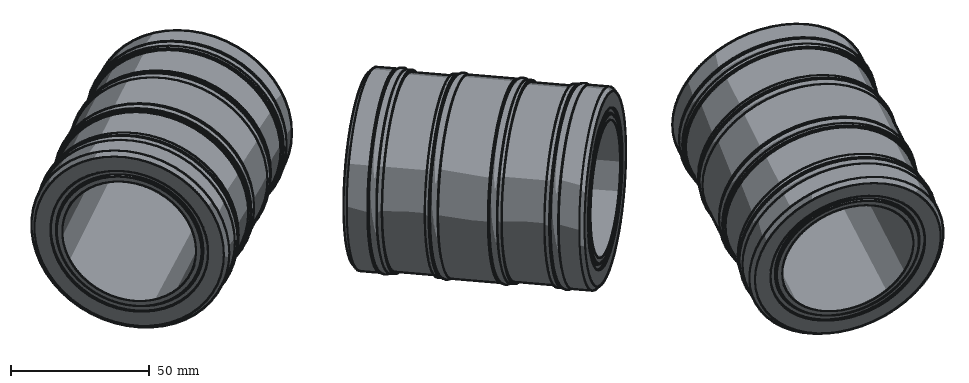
import cadquery as cq

length = 88.9
outer_radius = 37.0
bore_radius = 25.0
outer_chamfer = 1.6

relief_radius = 36.2
relief_inner_end = 14.1
relief_outer_end = 30.0

ring_outer_diameter = 74.9
ring_section_radius = 1.3
ring_centre_radius = ring_outer_diameter / 2 - ring_section_radius
groove_floor_radius = ring_centre_radius - ring_section_radius
groove_width = 3.6
inner_groove_offset = 10.9
outer_groove_offset = 33.5
ring_positions = [
    side * offset
    for side in (-1, 1)
    for offset in (inner_groove_offset, outer_groove_offset)
]

cutter_radius = outer_radius + 0.9

recess_outer_radius = 29.4
lip_base_radius = 27.6
recess_depth = 0.7
lip_end_radius = 27.0


def revolve_about_y(profile):
    return profile.revolve(360, (0, 0, 0), (0, 1, 0))


def band(inner_radius, radius, start, end):
    """Annular band around Y between two positions along Y."""
    profile = (
        cq.Workplane("XY")
        .moveTo(inner_radius, start)
        .lineTo(radius, start)
        .lineTo(radius, end)
        .lineTo(inner_radius, end)
        .close()
    )
    return revolve_about_y(profile)


def make_blank():
    """Plain tube with both outer end edges chamfered."""
    tube = band(bore_radius, outer_radius, -length / 2, length / 2)
    return tube.edges(cq.selectors.RadiusNthSelector(-1)).chamfer(outer_chamfer)


def relief_cutter(side):
    start, end = sorted((side * relief_inner_end, side * relief_outer_end))
    return band(relief_radius, cutter_radius, start, end)


def groove_cutter(y):
    return band(groove_floor_radius, cutter_radius, y - groove_width / 2, y + groove_width / 2)


def recess_cutter(side):
    """End recess whose inner wall tapers in towards the end face."""
    end = side * length / 2
    profile = (
        cq.Workplane("XY")
        .moveTo(recess_outer_radius, end)
        .lineTo(recess_outer_radius, end - side * recess_depth)
        .lineTo(lip_base_radius, end - side * recess_depth)
        .lineTo(lip_end_radius, end)
        .close()
    )
    return revolve_about_y(profile)


def make_sleeve():
    sleeve = make_blank()
    for side in (-1, 1):
        sleeve = sleeve.cut(relief_cutter(side)).cut(recess_cutter(side))
    for y in ring_positions:
        sleeve = sleeve.cut(groove_cutter(y))
    return sleeve


def make_ring(y):
    section = cq.Workplane("XY").moveTo(ring_centre_radius, y).circle(ring_section_radius)
    return revolve_about_y(section)


sleeve = make_sleeve()
rings = [make_ring(y) for y in ring_positions]
result = cq.Compound.makeCompound([sleeve.val(), *[ring.val() for ring in rings]])